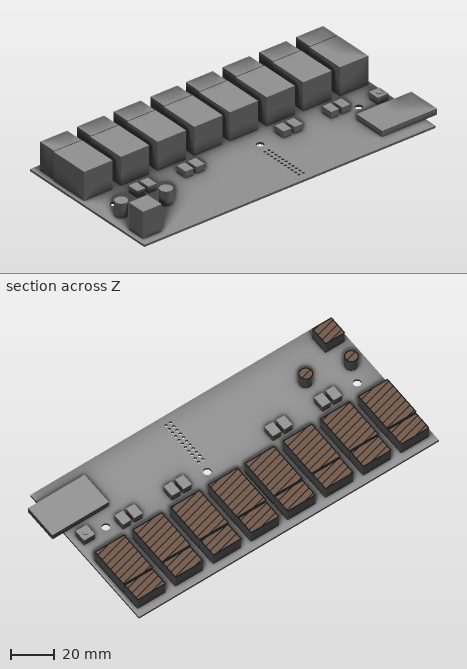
import cadquery as cq

BOARD_WIDTH = 84.97
BOARD_LENGTH = 170.0
BOARD_THICKNESS = 1.2
OVERALL_LENGTH = 176.53
OVERALL_HEIGHT = 16.9

CHANNELS_PER_BANK = 4
CHANNEL_PITCH = 21.45
BANK_STARTS = (2.65, 87.65)
CHANNEL_HEIGHT = OVERALL_HEIGHT - BOARD_THICKNESS
TERMINAL_X = 4.15
TERMINAL_WIDTH = 10.32
TERMINAL_LENGTH = 15.8
TERMINAL_RELAY_GAP = 0.5
RELAY_X = TERMINAL_X + TERMINAL_WIDTH + TERMINAL_RELAY_GAP
RELAY_WIDTH = 22.63
RELAY_LENGTH = 16.53
RELAY_OVERHANG = 0.13

OPTO_X = 44.2
OPTO_WIDTH = 6.6
OPTO_LENGTH = 4.7
OPTO_HEIGHT = 3.8
OPTO_PITCH = 6.5
OPTO_PAIR_STARTS = (22.8, 50.9, 108.07, 135.87)

BUTTON_CENTER = (50.8, 163.6)
BUTTON_WIDTH = 6.6
BUTTON_LENGTH = 6.2
BUTTON_HEIGHT = 3.8
PLUNGER_DIAMETER = 2.85
PLUNGER_HEIGHT = 0.5

CONNECTOR_X = 58.73
CONNECTOR_WIDTH = 18.97
CONNECTOR_LENGTH = 31.97
CONNECTOR_HEIGHT = 3.3

JACK_X = 70.2
JACK_Y = 2.6
JACK_WIDTH = 10.5
JACK_LENGTH = 10.9
JACK_HEIGHT = 14.7

CAPACITOR_CENTERS = ((57.75, 7.85), (62.1, 30.6))
CAPACITOR_DIAMETER = 6.5
CAPACITOR_HEIGHT = 8.0

MOUNTING_HOLE_CENTERS = ((48.05, 11.5), (48.05, 96.55), (50.05, 152.5))
MOUNTING_HOLE_DIAMETER = 4.0
HEADER_START = (54.65, 94.1)
HEADER_COLUMNS = 11
HEADER_ROWS = 2
HEADER_PITCH = 2.54
HEADER_HOLE_DIAMETER = 1.5


def block(x, y, width, length, height):
    """Box standing on the board, its lowest-X, lowest-Y corner at (x, y)."""
    corner = (x, y, BOARD_THICKNESS)
    return cq.Workplane("XY").box(width, length, height, centered=False).translate(corner)


def post(center, diameter, height):
    """Upright cylinder standing on the board."""
    base = cq.Workplane("XY", origin=(0, 0, BOARD_THICKNESS))
    return base.pushPoints([center]).circle(diameter / 2).extrude(height)


def drill_cutter(points, diameter):
    """Cylinders through the full board thickness at the given points."""
    return cq.Workplane("XY").pushPoints(points).circle(diameter / 2).extrude(BOARD_THICKNESS)


def make_board():
    header_x, header_y = HEADER_START
    header_points = [
        (header_x + column * HEADER_PITCH, header_y + row * HEADER_PITCH)
        for column in range(HEADER_COLUMNS)
        for row in range(HEADER_ROWS)
    ]
    board = cq.Workplane("XY").box(BOARD_WIDTH, BOARD_LENGTH, BOARD_THICKNESS, centered=False)
    header_holes = drill_cutter(header_points, HEADER_HOLE_DIAMETER)
    mounting_holes = drill_cutter(MOUNTING_HOLE_CENTERS, MOUNTING_HOLE_DIAMETER)
    return board.cut(header_holes).cut(mounting_holes)


def make_channels():
    parts = []
    for bank_start in BANK_STARTS:
        for index in range(CHANNELS_PER_BANK):
            terminal_y = bank_start + index * CHANNEL_PITCH
            relay_y = terminal_y + TERMINAL_LENGTH + RELAY_OVERHANG - RELAY_LENGTH
            parts.append(block(TERMINAL_X, terminal_y, TERMINAL_WIDTH, TERMINAL_LENGTH, CHANNEL_HEIGHT))
            parts.append(block(RELAY_X, relay_y, RELAY_WIDTH, RELAY_LENGTH, CHANNEL_HEIGHT))
    return parts


def make_optocouplers():
    return [
        block(OPTO_X, pair_start + offset, OPTO_WIDTH, OPTO_LENGTH, OPTO_HEIGHT)
        for pair_start in OPTO_PAIR_STARTS
        for offset in (0, OPTO_PITCH)
    ]


def make_button():
    center_x, center_y = BUTTON_CENTER
    corner_x = center_x - BUTTON_WIDTH / 2
    corner_y = center_y - BUTTON_LENGTH / 2
    body = block(corner_x, corner_y, BUTTON_WIDTH, BUTTON_LENGTH, BUTTON_HEIGHT)
    plunger = post(BUTTON_CENTER, PLUNGER_DIAMETER, BUTTON_HEIGHT + PLUNGER_HEIGHT)
    return body.union(plunger)


def make_connector():
    connector_y = OVERALL_LENGTH - CONNECTOR_LENGTH
    return block(CONNECTOR_X, connector_y, CONNECTOR_WIDTH, CONNECTOR_LENGTH, CONNECTOR_HEIGHT)


def make_jack():
    return block(JACK_X, JACK_Y, JACK_WIDTH, JACK_LENGTH, JACK_HEIGHT)


def make_capacitors():
    return [post(center, CAPACITOR_DIAMETER, CAPACITOR_HEIGHT) for center in CAPACITOR_CENTERS]


components = make_channels() + make_optocouplers() + make_capacitors()
components += [make_button(), make_connector(), make_jack()]

result = make_board()
for component in components:
    result = result.union(component)